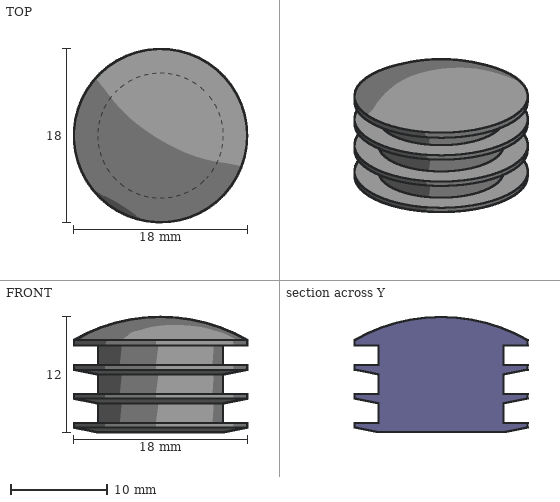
import cadquery as cq
import math

outer_diameter = 18.0
core_diameter = 13.0
total_height = 12.0

fin_count = 3
fin_pitch = 3.0
fin_cone_height = 0.5
fin_edge_height = 0.5

cap_underside_z = fin_count * fin_pitch
dome_sphere_radius = 18.0

outer_radius = outer_diameter / 2
core_radius = core_diameter / 2


def dome_height_at(radius):
    """Height of the dome surface at a given distance from the axis."""
    drop = dome_sphere_radius - math.sqrt(dome_sphere_radius**2 - radius**2)
    return total_height - drop


def make_core():
    return cq.Workplane("XY").circle(core_radius).extrude(cap_underside_z)


def make_fin(base_z):
    edge_bottom_z = base_z + fin_cone_height
    edge_top_z = edge_bottom_z + fin_edge_height
    profile = (
        cq.Workplane("XZ")
        .moveTo(0, base_z)
        .lineTo(core_radius, base_z)
        .lineTo(outer_radius, edge_bottom_z)
        .lineTo(outer_radius, edge_top_z)
        .lineTo(0, edge_top_z)
        .close()
    )
    return profile.revolve(360, (0, 0), (0, 1))


def make_cap():
    mid_radius = outer_radius / 2
    profile = (
        cq.Workplane("XZ")
        .moveTo(0, cap_underside_z)
        .lineTo(outer_radius, cap_underside_z)
        .lineTo(outer_radius, dome_height_at(outer_radius))
        .threePointArc((mid_radius, dome_height_at(mid_radius)), (0, total_height))
        .close()
    )
    return profile.revolve(360, (0, 0), (0, 1))


result = make_core().union(make_cap())
for fin_index in range(fin_count):
    result = result.union(make_fin(fin_index * fin_pitch))